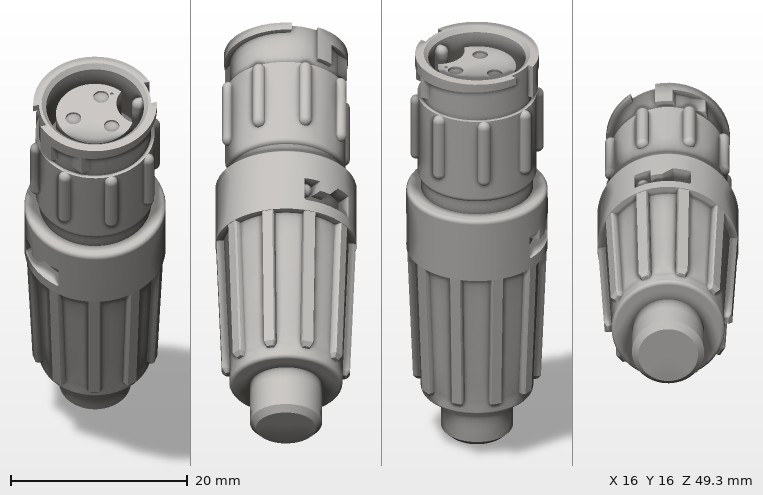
import cadquery as cq
import math

TOTAL_HEIGHT = 49.34
GRIP_BOTTOM = 5.55
GRIP_RIB_BOTTOM = 6.87
RING_BOTTOM = 24.15
RING_TOP = 31.97
COLLAR_BOTTOM = 33.65
COLLAR_TOP = 44.3

STUB_RADIUS = 4.08
STUB_CHAMFER = 0.7
GRIP_BOTTOM_RADIUS = 6.36
GRIP_TOP_RADIUS = 7.1
GRIP_FILLET = 0.4
RING_RADIUS = 8.0
RING_FILLET = 0.45
NECK_RADIUS = 6.35
COLLAR_RADIUS = 6.75
COLLAR_FILLET = 0.6

GRIP_TURN = 20.0
GRIP_RIB_COUNT = 10
GRIP_RIB_HEIGHT = 0.8
GRIP_RIB_TIP_WIDTH = 1.15
GRIP_RIB_SHOULDER_WIDTH = 1.36
GRIP_RIB_ROOT_WIDTH = 1.42
GRIP_RIB_BEVEL_HEIGHT = 0.22
GRIP_RIB_SINK = 0.6
GRIP_RIB_CHAMFER_HEIGHT = 0.5
GRIP_RIB_TIP_CHAMFER = 0.35
GRIP_RIB_SIDE_CHAMFER = 0.25

COLLAR_RIB_COUNT = 8
COLLAR_RIB_RADIUS = 0.72
COLLAR_RIB_AXIS_RADIUS = 6.86
COLLAR_RIB_LENGTH = 6.78

FLANGE_RADIUS = 7.0
FLANGE_GAP_HALF_WIDTH = 1.55
RAMP_MID_THICKNESS = 1.25
RAMP_SLOPE = 0.05
STOP_HEIGHT = 4.1
STOP_OUTER_X = 3.4
DETENT_ANGLES = (20.0, 28.0, 40.5)

WINDOW_HALF_WIDTH = 3.2
WINDOW_BOTTOM = 25.5
WINDOW_STEP = 27.1
WINDOW_TOP = 28.35
WINDOW_TOOTH_LEFT = -1.33
WINDOW_TOOTH_RIGHT = 0.0
WINDOW_RAMP_END = 1.2
WINDOW_CORNER = 0.3
PIN_RADIUS = 0.8
PIN_AXIS_RADIUS = 6.6
PIN_HEIGHT = 27.55

SOCKET_RADIUS = 5.53
SOCKET_CHAMFER = 0.5
SOCKET_DEPTH = 7.0
INSERT_RADIUS = 4.42
INSERT_RECESS = 1.7
KEYWAY_RADIUS = 3.1
KEYWAY_OFFSET = 5.73
CONTACT_RADIUS = 0.88
CONTACT_DEPTH = 0.3
CONTACT_CENTERS = ((-2.23, 1.32), (2.23, 1.32), (0.0, -2.53))
MARK_RADIUS = 0.2
MARK_DEPTH = 0.2
MARK_CENTER = (-2.31, 2.6)
KEY_RADIUS = 0.73
KEY_AXIS_OFFSET = 5.08
KEY_RECESS = 1.65


def cylinder(radius, bottom, top):
    return cq.Workplane("XY").workplane(offset=bottom).circle(radius).extrude(top - bottom)


def turn(shape, angle):
    return shape.rotate((0, 0, 0), (0, 0, 1), angle)


def with_opposite(shape):
    """The shape together with its copy half a turn about Z."""
    return shape.union(turn(shape, 180))


def make_body():
    stub = cylinder(STUB_RADIUS, 0, GRIP_BOTTOM).faces("<Z").chamfer(STUB_CHAMFER)
    grip = (
        cq.Workplane("XZ")
        .moveTo(0, GRIP_BOTTOM)
        .lineTo(GRIP_BOTTOM_RADIUS, GRIP_BOTTOM)
        .lineTo(GRIP_TOP_RADIUS, RING_BOTTOM)
        .lineTo(0, RING_BOTTOM)
        .close()
        .revolve(360, (0, 0, 0), (0, 1, 0))
        .faces("<Z").edges().fillet(GRIP_FILLET)
    )
    ring = cylinder(RING_RADIUS, RING_BOTTOM, RING_TOP).faces(">Z").edges().fillet(RING_FILLET)
    neck = cylinder(NECK_RADIUS, RING_TOP, TOTAL_HEIGHT)
    collar = cylinder(COLLAR_RADIUS, COLLAR_BOTTOM, COLLAR_TOP).faces("<Z").edges().fillet(COLLAR_FILLET)
    return stub.union(grip).union(ring).union(neck).union(collar)


def grip_radius(height):
    fraction = (height - GRIP_BOTTOM) / (RING_BOTTOM - GRIP_BOTTOM)
    return GRIP_BOTTOM_RADIUS + fraction * (GRIP_TOP_RADIUS - GRIP_BOTTOM_RADIUS)


def rib_section(height, tip_inset=0.0, side_inset=0.0):
    """Rib cross-section at a height: drafted sides and a bevelled tip, optionally shrunk."""
    surface = grip_radius(height)
    tip = surface + GRIP_RIB_HEIGHT - tip_inset
    half_profile = [
        (surface - GRIP_RIB_SINK, GRIP_RIB_ROOT_WIDTH / 2 - side_inset),
        (tip - GRIP_RIB_BEVEL_HEIGHT, GRIP_RIB_SHOULDER_WIDTH / 2 - side_inset),
        (tip, GRIP_RIB_TIP_WIDTH / 2 - side_inset),
    ]
    mirrored = [(radius, -half_width) for radius, half_width in reversed(half_profile)]
    return half_profile + mirrored


def rib_stretch(bottom, bottom_section, top, top_section):
    return (
        cq.Workplane("XY").workplane(offset=bottom).polyline(bottom_section).close()
        .workplane(offset=top - bottom).polyline(top_section).close()
        .loft(ruled=True)
    )


def add_grip_ribs(body):
    chamfer_top = GRIP_RIB_BOTTOM + GRIP_RIB_CHAMFER_HEIGHT
    shrunk_end = rib_section(GRIP_RIB_BOTTOM, GRIP_RIB_TIP_CHAMFER, GRIP_RIB_SIDE_CHAMFER)
    full_end = rib_section(chamfer_top)
    foot = rib_stretch(GRIP_RIB_BOTTOM, shrunk_end, chamfer_top, full_end)
    shaft = rib_stretch(chamfer_top, full_end, RING_BOTTOM, rib_section(RING_BOTTOM))
    rib = foot.union(shaft)
    pitch = 360 / GRIP_RIB_COUNT
    for index in range(GRIP_RIB_COUNT):
        body = body.union(turn(rib, GRIP_TURN + index * pitch))
    return body


def add_collar_ribs(body):
    top_center = COLLAR_TOP - COLLAR_RIB_RADIUS
    bottom_center = top_center - COLLAR_RIB_LENGTH
    rib = cylinder(COLLAR_RIB_RADIUS, bottom_center, top_center)
    for height in (bottom_center, top_center):
        rib = rib.union(cq.Workplane("XY").sphere(COLLAR_RIB_RADIUS).translate((0, 0, height)))
    rib = rib.translate((COLLAR_RIB_AXIS_RADIUS, 0, 0))
    pitch = 360 / COLLAR_RIB_COUNT
    for index in range(COLLAR_RIB_COUNT):
        body = body.union(turn(rib, index * pitch))
    return body


def add_flange(body):
    """Two flange halves with sloping undersides, each with a stop block and a detent."""
    reach = FLANGE_RADIUS
    ramp_rise = RAMP_SLOPE * reach
    ramp = (
        cq.Workplane("YZ").workplane(offset=FLANGE_GAP_HALF_WIDTH)
        .polyline([
            (-reach, TOTAL_HEIGHT),
            (reach, TOTAL_HEIGHT),
            (reach, TOTAL_HEIGHT - RAMP_MID_THICKNESS + ramp_rise),
            (-reach, TOTAL_HEIGHT - RAMP_MID_THICKNESS - ramp_rise),
        ]).close()
        .extrude(reach)
    )
    stop = cq.Workplane("XY").box(
        STOP_OUTER_X - FLANGE_GAP_HALF_WIDTH, reach, STOP_HEIGHT, centered=False
    ).translate((FLANGE_GAP_HALF_WIDTH, -reach, TOTAL_HEIGHT - STOP_HEIGHT))
    envelope = cylinder(FLANGE_RADIUS, COLLAR_TOP, TOTAL_HEIGHT)

    def polar(radius, angle):
        return (radius * math.cos(math.radians(angle)), -radius * math.sin(math.radians(angle)))

    near_foot, peak, far_foot = DETENT_ANGLES
    detent = (
        cq.Workplane("XY").workplane(offset=TOTAL_HEIGHT - STOP_HEIGHT)
        .polyline([
            (0, 0),
            polar(NECK_RADIUS, near_foot),
            polar(FLANGE_RADIUS, peak),
            polar(NECK_RADIUS, far_foot),
        ]).close()
        .extrude(STOP_HEIGHT - RAMP_MID_THICKNESS)
    )
    half = ramp.union(stop).intersect(envelope).union(detent)
    return body.union(with_opposite(half))


def cut_windows(body):
    window = (
        cq.Workplane("XZ")
        .polyline([
            (-WINDOW_HALF_WIDTH, WINDOW_BOTTOM),
            (WINDOW_HALF_WIDTH, WINDOW_BOTTOM),
            (WINDOW_HALF_WIDTH, WINDOW_TOP),
            (WINDOW_RAMP_END, WINDOW_TOP),
            (WINDOW_TOOTH_RIGHT, WINDOW_STEP),
            (WINDOW_TOOTH_LEFT, WINDOW_STEP),
            (WINDOW_TOOTH_LEFT, WINDOW_TOP),
            (-WINDOW_HALF_WIDTH, WINDOW_TOP),
        ]).close()
        .extrude(RING_RADIUS)
        .edges("|Y").edges("<Z").fillet(WINDOW_CORNER)
    )
    window = window.cut(cylinder(NECK_RADIUS, RING_BOTTOM, RING_TOP))
    pin = cq.Workplane("XY").sphere(PIN_RADIUS).translate((0, -PIN_AXIS_RADIUS, PIN_HEIGHT))
    return body.cut(with_opposite(turn(window, GRIP_TURN))).union(with_opposite(pin))


def make_insert():
    top = TOTAL_HEIGHT - INSERT_RECESS
    floor = TOTAL_HEIGHT - SOCKET_DEPTH
    insert = cylinder(INSERT_RADIUS, floor, top)
    insert = insert.cut(cylinder(KEYWAY_RADIUS, floor, top).translate((0, KEYWAY_OFFSET, 0)))
    for x, y in CONTACT_CENTERS:
        insert = insert.cut(cylinder(CONTACT_RADIUS, top - CONTACT_DEPTH, top).translate((x, y, 0)))
    mark_x, mark_y = MARK_CENTER
    return insert.cut(cylinder(MARK_RADIUS, top - MARK_DEPTH, top).translate((mark_x, mark_y, 0)))


def make_key():
    """Round-topped key standing on the socket floor, joined to the socket wall."""
    floor = TOTAL_HEIGHT - SOCKET_DEPTH
    shoulder = TOTAL_HEIGHT - KEY_RECESS
    post = cylinder(KEY_RADIUS, floor, shoulder)
    dome = cq.Workplane("XY").sphere(KEY_RADIUS).translate((0, 0, shoulder))
    web = (
        cq.Workplane("XZ")
        .moveTo(-KEY_RADIUS, floor)
        .lineTo(KEY_RADIUS, floor)
        .lineTo(KEY_RADIUS, shoulder)
        .threePointArc((0, shoulder + KEY_RADIUS), (-KEY_RADIUS, shoulder))
        .close()
        .extrude(-(NECK_RADIUS - KEY_AXIS_OFFSET) / 2)
    )
    return post.union(dome).union(web).translate((0, KEY_AXIS_OFFSET, 0))


def fit_socket(body):
    socket = cylinder(SOCKET_RADIUS, TOTAL_HEIGHT - SOCKET_DEPTH, TOTAL_HEIGHT)
    body = body.cut(socket)
    mouth = cq.Workplane("XY").workplane(offset=TOTAL_HEIGHT - SOCKET_CHAMFER).circle(SOCKET_RADIUS)
    mouth = mouth.workplane(offset=SOCKET_CHAMFER).circle(SOCKET_RADIUS + SOCKET_CHAMFER).loft()
    return body.cut(mouth).union(make_insert()).union(make_key())


body = make_body()
body = add_grip_ribs(body)
body = add_collar_ribs(body)
body = add_flange(body)
body = cut_windows(body)
result = fit_socket(body)